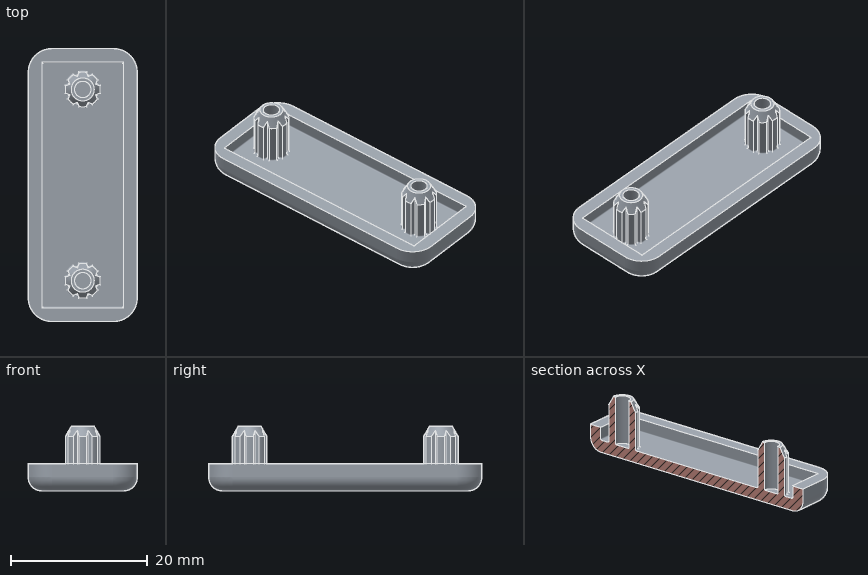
import cadquery as cq
import math

cap_width = 16.0
cap_length = 40.0
cap_height = 4.0
corner_radius = 3.5
bottom_fillet = 2.0

wall_thickness = 2.0
pocket_depth = 2.0
floor_level = cap_height - pocket_depth
floor_fillet = 0.2

total_height = 9.5
post_spacing = 28.0
post_radius = 2.55
post_height = total_height - floor_level
hole_radius = 1.2
hole_depth = post_height

tip_height = 1.5
tip_angle = 30.0
tip_radius = post_radius - tip_height * math.tan(math.radians(tip_angle))

groove_count = 8
groove_root_radius = 2.05
groove_reach = 1.0
groove_pitch = 360.0 / groove_count


def make_cap():
    """Rounded block with a filleted bottom edge and a square-cornered pocket."""
    block = (
        cq.Workplane("XY")
        .rect(cap_width, cap_length)
        .extrude(cap_height)
        .edges("|Z")
        .fillet(corner_radius)
        .faces("<Z")
        .edges()
        .fillet(bottom_fillet)
    )
    pocket = (
        cq.Workplane("XY")
        .workplane(offset=floor_level)
        .rect(cap_width - 2 * wall_thickness, cap_length - 2 * wall_thickness)
        .extrude(pocket_depth)
    )
    return block.cut(pocket)


def make_post():
    """Grooved post with a conical tip, its base centred on the origin."""
    post = (
        cq.Workplane("XZ")
        .polyline([
            (0, 0),
            (post_radius, 0),
            (post_radius, post_height - tip_height),
            (tip_radius, post_height),
            (0, post_height),
        ])
        .close()
        .revolve(360, (0, 0, 0), (0, 1, 0))
    )
    groove = (
        cq.Workplane("XY")
        .polyline([
            (groove_root_radius, 0),
            (groove_root_radius + groove_reach, groove_reach),
            (groove_root_radius + groove_reach, -groove_reach),
        ])
        .close()
        .extrude(post_height)
    )
    for index in range(groove_count):
        angle = (index + 0.5) * groove_pitch
        post = post.cut(groove.rotate((0, 0, 0), (0, 0, 1), angle))
    return post


def add_posts(cap):
    """Stand both posts on the floor and round the floor into the posts and walls."""
    centers = [(0, -post_spacing / 2), (0, post_spacing / 2)]
    body = cap
    for x, y in centers:
        body = body.union(make_post().translate((x, y, floor_level)))
    floor_center = (0, 0, floor_level)
    body = body.faces(cq.NearestToPointSelector(floor_center)).edges().fillet(floor_fillet)
    holes = (
        cq.Workplane("XY")
        .workplane(offset=total_height - hole_depth)
        .pushPoints(centers)
        .circle(hole_radius)
        .extrude(hole_depth)
    )
    return body.cut(holes)


result = add_posts(make_cap())